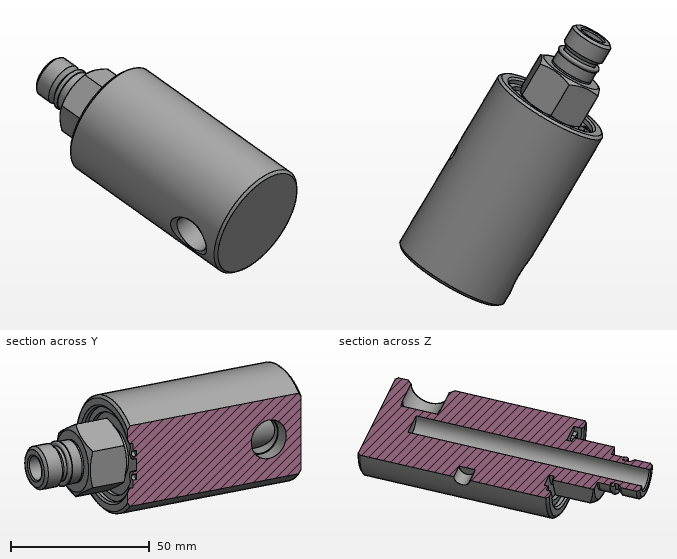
import cadquery as cq
import math

TOTAL_LENGTH = 102.79

BODY_DIAMETER = 43.7
BODY_START = 29.85
BODY_CHAMFER = 1.0

HEX_ACROSS_FLATS = 24.0
HEX_START = 15.9
HEX_END = 31.85
HEX_FACE_DIAMETER = 22.8
HEX_CHAMFER_ANGLE = 30.0
HEX_COLLAR_DIAMETER = 19.84

NIPPLE_DIAMETER = 15.97
NIPPLE_SHOULDER_DIAMETER = 16.02
NIPPLE_SHOULDER_START = 15.25
NIPPLE_TIP_DIAMETER = 13.89
GROOVE_DIAMETER = 12.95
GROOVE_START = 6.95
GROOVE_END = 11.2
SEAL_SECTION_RADIUS = 0.95
SEAL_OVERLAP = 0.04

BORE_DIAMETER = 9.0
BORE_CHAMFER = 0.5

RECESS_MOUTH_DIAMETER = 36.6
RECESS_DIAMETER = 35.08
RING_FACE_DEPTH = 2.2
RING_THICKNESS = 1.5
RING_INNER_DIAMETER = 30.7
RING_HOLE_DIAMETER = 1.98
RING_HOLE_Y = -15.4
RING_HOLE_Z = 4.5
RING_EAR_RADIUS = 2.2
RING_CORNER_RADIUS = 2.0

PORT_X = 89.2
PORT_DIAMETER = 14.5
PORT_INNER_DIAMETER = 13.89
PORT_STEP_Y = -9.92
PORT_MOUTH_RADIUS = 8.9
SHAFT_DIAMETER = 15.97

SIDE_HOLE_X = 62.9
SIDE_HOLE_DIAMETER = 6.0
SIDE_HOLE_DEPTH = 6.0

BODY_RADIUS = BODY_DIAMETER / 2
RECESS_FLOOR = BODY_START + RING_FACE_DEPTH + RING_THICKNESS


def x_cylinder(diameter, start, end):
    return cq.Workplane("YZ", origin=(start, 0, 0)).circle(diameter / 2).extrude(end - start)


def turned(points):
    """Revolve a closed outline of (x, radius) points about the X axis."""
    return cq.Workplane("XY").polyline(points).close().revolve(360, (0, 0, 0), (1, 0, 0))


def make_body():
    return x_cylinder(BODY_DIAMETER, BODY_START, TOTAL_LENGTH).faces("<X or >X").chamfer(BODY_CHAMFER)


def make_recess():
    """Conical mouth and straight bore, with the retaining ring left standing on the floor."""
    mouth_depth = (RECESS_MOUTH_DIAMETER - RECESS_DIAMETER) / 2
    recess = turned([
        (BODY_START, 0),
        (BODY_START, RECESS_MOUTH_DIAMETER / 2),
        (BODY_START + mouth_depth, RECESS_DIAMETER / 2),
        (RECESS_FLOOR, RECESS_DIAMETER / 2),
        (RECESS_FLOOR, 0),
    ])
    return recess.cut(make_retaining_ring())


def make_retaining_ring():
    """Flat ring, open towards -Y, with a drilled ear at each end."""
    plane = cq.Workplane("YZ", origin=(BODY_START + RING_FACE_DEPTH, 0, 0))
    outer_radius = RECESS_DIAMETER / 2
    gap = 2 * (RING_HOLE_Z - RING_EAR_RADIUS)
    ear_centres = [(RING_HOLE_Y, RING_HOLE_Z), (RING_HOLE_Y, -RING_HOLE_Z)]

    rim = plane.circle(outer_radius).extrude(RING_THICKNESS)
    band = rim.cut(plane.circle(RING_INNER_DIAMETER / 2).extrude(RING_THICKNESS))
    opening = plane.center(-outer_radius, 0).rect(outer_radius, gap).extrude(RING_THICKNESS)
    ears = plane.pushPoints(ear_centres).circle(RING_EAR_RADIUS).extrude(RING_THICKNESS)
    ring = band.union(ears)
    stub_length = outer_radius + RING_HOLE_Y
    stub_y = RING_HOLE_Y - stub_length / 2
    for hole_z in (RING_HOLE_Z, -RING_HOLE_Z):
        stub = plane.center(stub_y, hole_z).rect(stub_length, 2 * RING_EAR_RADIUS).extrude(RING_THICKNESS)
        ring = ring.union(stub)
    ring = ring.intersect(rim).cut(opening)
    for side in (1, -1):
        corner_zone = cq.selectors.BoxSelector(
            (BODY_START, RING_HOLE_Y, side * RING_HOLE_Z),
            (RECESS_FLOOR, 0, side * outer_radius),
        )
        ring = ring.edges("|X").edges(corner_zone).fillet(RING_CORNER_RADIUS)
    holes = plane.pushPoints(ear_centres).circle(RING_HOLE_DIAMETER / 2).extrude(RING_THICKNESS)
    return ring.cut(holes)


def make_hexagon():
    """Hexagon with two corners along Z, chamfered by a cone at both ends, on a round collar."""
    corner_radius = HEX_ACROSS_FLATS / 2 / math.cos(math.radians(30))
    face_radius = HEX_FACE_DIAMETER / 2
    chamfer_length = (corner_radius - face_radius) * math.tan(math.radians(HEX_CHAMFER_ANGLE))
    prism = (
        cq.Workplane("YZ", origin=(HEX_START, 0, 0))
        .transformed(rotate=(0, 0, 90))
        .polygon(6, 2 * corner_radius)
        .extrude(HEX_END - HEX_START)
    )
    envelope = turned([
        (HEX_START, 0),
        (HEX_START, face_radius),
        (HEX_START + chamfer_length, corner_radius),
        (HEX_END - chamfer_length, corner_radius),
        (HEX_END, face_radius),
        (HEX_END, 0),
    ])
    collar = x_cylinder(HEX_COLLAR_DIAMETER, HEX_END, RECESS_FLOOR)
    return prism.intersect(envelope).union(collar)


def make_nipple():
    """Nipple with a chamfered tip and a sloped groove holding a round seal ring."""
    radius = NIPPLE_DIAMETER / 2
    tip_radius = NIPPLE_TIP_DIAMETER / 2
    groove_radius = GROOVE_DIAMETER / 2
    shoulder_radius = NIPPLE_SHOULDER_DIAMETER / 2
    nipple = turned([
        (0, 0),
        (0, tip_radius),
        (radius - tip_radius, radius),
        (GROOVE_START, radius),
        (GROOVE_START + radius - groove_radius, groove_radius),
        (GROOVE_END, groove_radius),
        (GROOVE_END, radius),
        (NIPPLE_SHOULDER_START, radius),
        (NIPPLE_SHOULDER_START, shoulder_radius),
        (HEX_START, shoulder_radius),
        (HEX_START, 0),
    ])
    seal_x = GROOVE_END - SEAL_SECTION_RADIUS + SEAL_OVERLAP
    seal_pitch_radius = groove_radius + SEAL_SECTION_RADIUS - SEAL_OVERLAP
    seal = (
        cq.Workplane("XY")
        .center(seal_x, seal_pitch_radius)
        .circle(SEAL_SECTION_RADIUS)
        .revolve(360, (-seal_x, -seal_pitch_radius, 0), (1 - seal_x, -seal_pitch_radius, 0))
    )
    return nipple.union(seal)


def make_bore():
    """Flat-bottomed bore with a chamfered mouth, as deep as the port axis."""
    radius = BORE_DIAMETER / 2
    return turned([
        (0, 0),
        (0, radius + BORE_CHAMFER),
        (BORE_CHAMFER, radius),
        (PORT_X, radius),
        (PORT_X, 0),
    ])


def make_port():
    """Stepped round port with a 45 degree countersink, stopping on the shaft."""
    radius = PORT_DIAMETER / 2
    inner_radius = PORT_INNER_DIAMETER / 2
    sink_depth = PORT_MOUTH_RADIUS - radius
    port = (
        cq.Workplane("XY", origin=(PORT_X, 0, 0))
        .polyline([
            (0, 0),
            (inner_radius, 0),
            (inner_radius, PORT_STEP_Y),
            (radius, PORT_STEP_Y),
            (radius, sink_depth - BODY_RADIUS),
            (PORT_MOUTH_RADIUS, -BODY_RADIUS),
            (0, -BODY_RADIUS),
        ])
        .close()
        .revolve(360, (0, 0, 0), (0, 1, 0))
    )
    return port.cut(x_cylinder(SHAFT_DIAMETER, BODY_START, TOTAL_LENGTH))


def make_side_hole():
    return (
        cq.Workplane("XZ", origin=(SIDE_HOLE_X, BODY_RADIUS, 0))
        .circle(SIDE_HOLE_DIAMETER / 2)
        .extrude(SIDE_HOLE_DEPTH)
    )


body = make_body().cut(make_recess()).cut(make_port()).cut(make_side_hole())
result = body.union(make_hexagon()).union(make_nipple()).cut(make_bore())